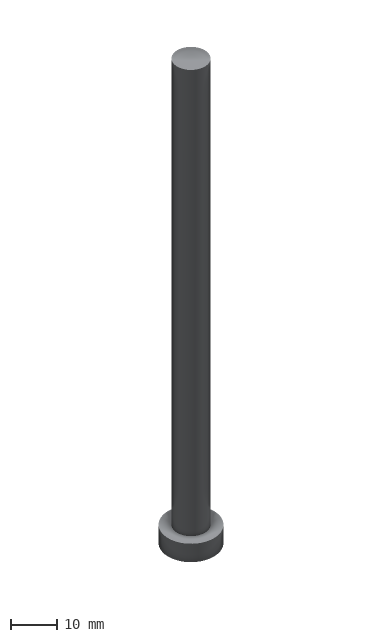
import cadquery as cq

overall_length = 130.0
head_diameter = 14.0
head_thickness = 5.0
shank_diameter = 8.5

head = cq.Workplane("XY").circle(head_diameter / 2).extrude(head_thickness)

shank = cq.Workplane("XY").circle(shank_diameter / 2).extrude(overall_length)

result = head.union(shank)